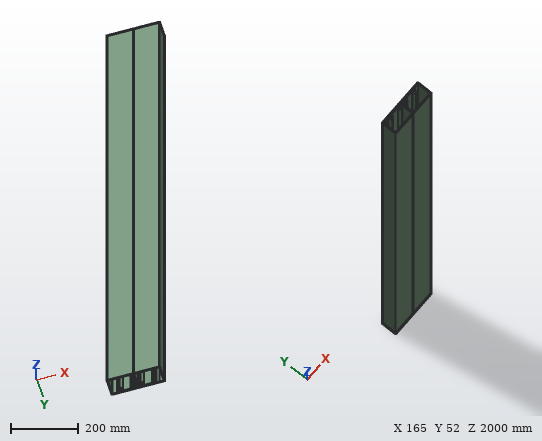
import cadquery as cq

length = 2000.0
width = 165.0
depth = 52.0

wall = 2.0
divider_thickness = 3.2

lid_width = 65.0
lid_thickness = 2.0

clip_width = 48.0
clip_depth = 15.0
clip_web = 2.0
clip_leg = 5.0
clip_foot = 5.0
barb_reach = 5.0
barb_shoulder = 8.0

back = -depth / 2
front = depth / 2
lid_underside = front - lid_thickness
lid_center = lid_width / 2
divider_side = divider_thickness / 2
compartment_width = width / 2 - wall - divider_side
sides = (-1, 1)


def bar(center_x, size_x, low_y, high_y):
    """A full-length rectangular bar along Z."""
    return (
        cq.Workplane("XY")
        .box(size_x, high_y - low_y, length)
        .translate((center_x, (low_y + high_y) / 2, 0))
    )


def make_housing():
    """Two compartments with a central divider, open at the +Y face where the lids fit."""
    body = bar(0, width, back, front)
    for side in sides:
        compartment_center = side * (divider_side + compartment_width / 2)
        body = body.cut(bar(compartment_center, compartment_width, back + wall, lid_underside))
    return body.cut(bar(0, 2 * lid_width, lid_underside, front))


def make_lid(side):
    """A flat strip flush with the +Y face of the housing."""
    return bar(side * lid_center, lid_width, lid_underside, front)


def make_clip(side):
    """A channel hanging from the inner face of a lid, with barbs facing each other."""
    outer = clip_width / 2
    inner = outer - clip_leg
    half_outline = [
        (outer, 0),
        (outer, clip_depth),
        (outer - clip_foot, clip_depth),
        (inner - barb_reach, barb_shoulder),
        (inner, barb_shoulder),
        (inner, clip_web),
    ]
    mirrored_half = [(-x, drop) for x, drop in reversed(half_outline)]
    outline = [
        (side * lid_center + x, lid_underside - drop)
        for x, drop in half_outline + mirrored_half
    ]
    return (
        cq.Workplane("XY", origin=(0, 0, -length / 2))
        .polyline(outline)
        .close()
        .extrude(length)
    )


housing = make_housing()
lids = [make_lid(side) for side in sides]
clips = [make_clip(side) for side in sides]

result = cq.Compound.makeCompound(
    [housing.val(), *[lid.val() for lid in lids], *[clip.val() for clip in clips]]
)